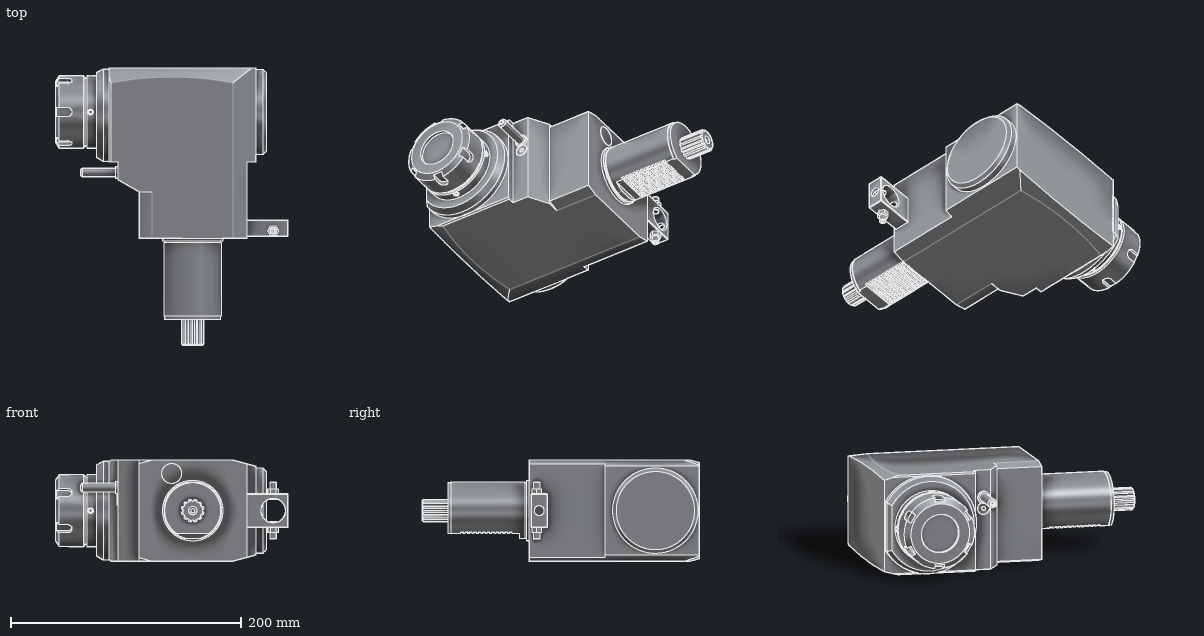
import cadquery as cq
import math


HEIGHT = 88.0
HALF_HEIGHT = HEIGHT / 2
BACK_Y = 38.3
FRONT_Y = -109.7
HEAD_LEFT = -72.5
HEAD_RIGHT = 55.0
HEAD_FRONT = -43.6
NECK_LEFT = -65.0
NECK_RIGHT = 47.2
SLANT_START_Y = -58.8
FOOT_LEFT = -46.5
FOOT_BACK = -69.5
BEVEL_ANGLE = 15.0
RIGHT_BEVEL_X = 35.0
LEFT_BEVEL_X = -35.2
EDGE_CHAMFER = 1.5
CROWN_RADIUS = 1084.5
CROWN_APEX_X = -18.0
CROWN_APEX_Y = 30.4
CUTTER_MARGIN = 24.0

FLANGE_FACE = -83.6
FLANGE_RIM = -77.5
FLANGE_RADIUS = 43.1
FLANGE_FACE_RADIUS = 39.5
FLANGE_FLAT_Y = 37.4
FLANGE_FLAT_FACE_Y = 34.2
NUT_FACE = -119.3
NUT_BACK = -93.7
NUT_RADIUS = 31.5
NUT_FACE_RADIUS = 26.3
NUT_CONE_LENGTH = 3.4
NUT_BACK_CHAMFER = 1.2
NUT_GAP = 2.0
NUT_GAP_RADIUS = 29.5
COLLET_RADIUS = 16.9
COLLET_DEPTH = 3.1
SLOT_COUNT = 6
SLOT_WIDTH = 8.2
SLOT_END_X = -104.8
SLOT_FLOOR_RADIUS = 27.7
RING_HOLE_COUNT = 4
RING_HOLE_X = -88.7
RING_HOLE_RADIUS = 2.5
RING_HOLE_DEPTH = 1.0
RING_SOCKET_RADIUS = 1.5
RING_SOCKET_DEPTH = 2.5
CAP_RADIUS = 37.0
CAP_END = 64.0
CAP_CHAMFER = 3.1

COLLAR_RADIUS = 26.3
COLLAR_LENGTH = 2.5
RELIEF_LENGTH = 1.2
RELIEF_RADIUS = 24.3
SHANK_RADIUS = 25.0
SHANK_END = -180.3
SHANK_STEP_LENGTH = 3.0
SHANK_STEP = 0.7
SHANK_FLAT_Z = -20.0
FLAT_START_Y = -118.0
HEEL_FLAT_Z = -24.3
TOOTH_PITCH = 3.9
TOOTH_GAP = 2.2
TOOTH_DEPTH = 1.2
GAP_COUNT = 12
FIRST_GAP_Y = -124.5
SPLINE_END = -202.7
SPLINE_COUNT = 12
SPLINE_RADIUS = 10.0
SPLINE_ROOT_RADIUS = 8.0
SPLINE_CHAMFER = 1.2
SPLINE_GROOVE_SHARE = 0.7
CENTRE_HOLE_RADIUS = 1.7
CENTRE_SINK_RADIUS = 3.5
CENTRE_HOLE_DEPTH = 9.6

PIN_Y = -52.5
PIN_Z = 20.0
PIN_RADIUS = 3.9
PIN_TIP = -97.4
PIN_CHAMFER = 1.5
PIN_SOCKET_RADIUS = 1.5
PIN_SOCKET_DEPTH = 2.5
SEAT_RADIUS = 5.3
PIN_SEAT_LENGTH = 2.0
SCREW_Z = 10.1
SCREW_HEAD = 0.5
SCREW_SOCKET_RADIUS = 1.7
PLUG_X = -18.3
PLUG_Z = 32.3
PLUG_RADIUS = 8.7
PLUG_RECESS = 0.2

BRACKET_END = 83.0
BRACKET_BACK = -93.7
BRACKET_FRONT = -108.0
BRACKET_HALF_HEIGHT = 14.7
BRACKET_CHAMFER = 0.5
BORE_X = 70.0
BORE_RADIUS = 10.5
CROSS_HOLE_RADIUS = 4.3
BOLT_Y = -103.1
BOLT_RADIUS = 3.0
BOLT_INNER_Z = 9.6
BOLT_OUTER_Z = 24.8
BOLT_CHAMFER = 0.5
BOLT_SOCKET_RADIUS = 1.2
BOLT_SOCKET_DEPTH = 2.5
BOLT_NUT_TOP = 18.8
BOLT_NUT_WIDTH = 9.6


def cylinder_x(x_start, x_end, radius, y=0.0, z=0.0):
    return cq.Workplane("YZ", origin=(x_start, y, z)).circle(radius).extrude(x_end - x_start)


def cylinder_y(y_start, y_end, radius, x=0.0, z=0.0):
    """Cylinder running from y_start toward -Y down to y_end."""
    return cq.Workplane("XZ", origin=(x, y_start, z)).circle(radius).extrude(y_start - y_end)


def box_between(x_range, y_range, z_range):
    size = [high - low for low, high in (x_range, y_range, z_range)]
    corner = cq.Vector(x_range[0], y_range[0], z_range[0])
    return cq.Workplane(cq.Solid.makeBox(*size, corner))


def cut_top_and_bottom(body, cutter):
    return body.cut(cutter).cut(cutter.mirror("XY"))


def side_bevel(start_x, end_x, y_front, y_back):
    """Wedge that slopes the top face down from start_x to end_x."""
    drop = abs(end_x - start_x) * math.tan(math.radians(BEVEL_ANGLE))
    return (
        cq.Workplane("XZ", origin=(0, y_back, 0))
        .moveTo(start_x, HALF_HEIGHT)
        .lineTo(end_x, HALF_HEIGHT)
        .lineTo(end_x, HALF_HEIGHT - drop)
        .close()
        .extrude(y_back - y_front)
    )


def back_crown():
    """Cutter for the tilted, slightly arched bevel along the top back edge."""
    half_width = HEAD_RIGHT - CROWN_APEX_X + CUTTER_MARGIN
    sag = CROWN_RADIUS - math.sqrt(CROWN_RADIUS**2 - half_width**2)
    tilt = math.radians(BEVEL_ANGLE)
    plane = cq.Plane(
        origin=(CROWN_APEX_X, CROWN_APEX_Y, HALF_HEIGHT),
        xDir=(1, 0, 0),
        normal=(0, math.cos(tilt), -math.sin(tilt)),
    )
    return (
        cq.Workplane(plane)
        .moveTo(-half_width, sag)
        .threePointArc((0, 0), (half_width, sag))
        .lineTo(half_width, -CUTTER_MARGIN)
        .lineTo(-half_width, -CUTTER_MARGIN)
        .close()
        .extrude(CUTTER_MARGIN, both=True)
    )


def make_housing():
    outline = [
        (HEAD_LEFT, BACK_Y),
        (HEAD_RIGHT, BACK_Y),
        (HEAD_RIGHT, HEAD_FRONT),
        (NECK_RIGHT, HEAD_FRONT),
        (NECK_RIGHT, FRONT_Y),
        (FOOT_LEFT, FRONT_Y),
        (FOOT_LEFT, FOOT_BACK),
        (NECK_LEFT, SLANT_START_Y),
        (NECK_LEFT, HEAD_FRONT),
        (HEAD_LEFT, HEAD_FRONT),
    ]
    body = cq.Workplane("XY").polyline(outline).close().extrude(HALF_HEIGHT, both=True)
    body = body.faces("<X").edges("|Y").chamfer(EDGE_CHAMFER)
    body = cut_top_and_bottom(body, side_bevel(RIGHT_BEVEL_X, HEAD_RIGHT, FRONT_Y, BACK_Y))
    body = cut_top_and_bottom(body, side_bevel(LEFT_BEVEL_X, FOOT_LEFT, FRONT_Y, FOOT_BACK))
    return cut_top_and_bottom(body, back_crown())


def make_flange():
    profile = [
        (HEAD_LEFT, 0),
        (HEAD_LEFT, FLANGE_RADIUS),
        (FLANGE_RIM, FLANGE_RADIUS),
        (FLANGE_FACE, FLANGE_FACE_RADIUS),
        (FLANGE_FACE, 0),
    ]
    flange = cq.Workplane("XY").polyline(profile).close().revolve(360, (0, 0), (1, 0))
    trim = [
        (HEAD_LEFT, FLANGE_FLAT_Y),
        (FLANGE_RIM, FLANGE_FLAT_Y),
        (FLANGE_FACE, FLANGE_FLAT_FACE_Y),
        (FLANGE_FACE, FLANGE_RADIUS),
        (HEAD_LEFT, FLANGE_RADIUS),
    ]
    return flange.cut(cq.Workplane("XY").polyline(trim).close().extrude(FLANGE_RADIUS, both=True))


def make_nut():
    gap_end = NUT_BACK + NUT_GAP
    profile = [
        (FLANGE_FACE, 0),
        (FLANGE_FACE, NUT_RADIUS),
        (gap_end, NUT_RADIUS),
        (gap_end, NUT_GAP_RADIUS),
        (NUT_BACK, NUT_GAP_RADIUS),
        (NUT_BACK, NUT_RADIUS - NUT_BACK_CHAMFER),
        (NUT_BACK - NUT_BACK_CHAMFER, NUT_RADIUS),
        (NUT_FACE + NUT_CONE_LENGTH, NUT_RADIUS),
        (NUT_FACE, NUT_FACE_RADIUS),
        (NUT_FACE, 0),
    ]
    nut = cq.Workplane("XY").polyline(profile).close().revolve(360, (0, 0), (1, 0))
    nut = nut.cut(cylinder_x(NUT_FACE, NUT_FACE + COLLET_DEPTH, COLLET_RADIUS))

    slot_round_x = SLOT_END_X - SLOT_WIDTH / 2
    slot = (
        cq.Workplane("XY", origin=(0, 0, SLOT_FLOOR_RADIUS))
        .moveTo(NUT_FACE, -SLOT_WIDTH / 2)
        .lineTo(slot_round_x, -SLOT_WIDTH / 2)
        .threePointArc((SLOT_END_X, 0), (slot_round_x, SLOT_WIDTH / 2))
        .lineTo(NUT_FACE, SLOT_WIDTH / 2)
        .close()
        .extrude(NUT_RADIUS - SLOT_FLOOR_RADIUS)
    )
    for i in range(SLOT_COUNT):
        nut = nut.cut(slot.rotate((0, 0, 0), (1, 0, 0), i * 360 / SLOT_COUNT))

    ring_hole = (
        cq.Workplane("XY", origin=(RING_HOLE_X, 0, NUT_RADIUS))
        .circle(RING_HOLE_RADIUS)
        .extrude(-RING_HOLE_DEPTH)
        .faces("<Z")
        .workplane()
        .circle(RING_SOCKET_RADIUS)
        .extrude(RING_SOCKET_DEPTH)
    )
    for i in range(RING_HOLE_COUNT):
        nut = nut.cut(ring_hole.rotate((0, 0, 0), (1, 0, 0), i * 360 / RING_HOLE_COUNT))
    return nut


def make_cap():
    return cylinder_x(HEAD_RIGHT, CAP_END, CAP_RADIUS).faces(">X").chamfer(CAP_CHAMFER)


def make_shank():
    collar_end = FRONT_Y - COLLAR_LENGTH
    step_y = SHANK_END + SHANK_STEP_LENGTH
    relief_end = collar_end - RELIEF_LENGTH
    shank = cylinder_y(collar_end, relief_end, RELIEF_RADIUS)
    shank = shank.union(cylinder_y(relief_end, step_y, SHANK_RADIUS))
    shank = shank.union(cylinder_y(step_y, SHANK_END, SHANK_RADIUS - SHANK_STEP))

    across = (-SHANK_RADIUS, SHANK_RADIUS)
    shank = shank.cut(box_between(across, (SHANK_END, collar_end), (-SHANK_RADIUS, HEEL_FLAT_Z)))
    shank = shank.cut(box_between(across, (SHANK_END, FLAT_START_Y), (-SHANK_RADIUS, SHANK_FLAT_Z)))
    for i in range(GAP_COUNT):
        gap_y = FIRST_GAP_Y - i * TOOTH_PITCH
        gap = box_between(across, (gap_y - TOOTH_GAP, gap_y), (SHANK_FLAT_Z, SHANK_FLAT_Z + TOOTH_DEPTH))
        shank = shank.cut(gap)
    return shank.union(cylinder_y(FRONT_Y, collar_end, COLLAR_RADIUS))


def make_spline():
    shaft = cylinder_y(SHANK_END, SPLINE_END, SPLINE_RADIUS).faces("<Y").chamfer(SPLINE_CHAMFER)
    groove_half_width = SPLINE_GROOVE_SHARE * SPLINE_RADIUS * math.sin(math.pi / SPLINE_COUNT)
    groove = (
        cq.Workplane("XZ", origin=(0, SHANK_END, 0))
        .moveTo(0, SPLINE_ROOT_RADIUS)
        .lineTo(groove_half_width, SPLINE_RADIUS)
        .lineTo(-groove_half_width, SPLINE_RADIUS)
        .close()
        .extrude(SHANK_END - SPLINE_END)
    )
    for i in range(SPLINE_COUNT):
        shaft = shaft.cut(groove.rotate((0, 0, 0), (0, 1, 0), i * 360 / SPLINE_COUNT))

    sink_depth = CENTRE_SINK_RADIUS - CENTRE_HOLE_RADIUS
    centre_hole = [
        (0, SPLINE_END),
        (CENTRE_SINK_RADIUS, SPLINE_END),
        (CENTRE_HOLE_RADIUS, SPLINE_END + sink_depth),
        (CENTRE_HOLE_RADIUS, SPLINE_END + CENTRE_HOLE_DEPTH),
        (0, SPLINE_END + CENTRE_HOLE_DEPTH),
    ]
    return shaft.cut(cq.Workplane("XY").polyline(centre_hole).close().revolve(360, (0, 0), (0, 1)))


def make_pin():
    pin = cylinder_x(PIN_TIP, NECK_LEFT, PIN_RADIUS, PIN_Y, PIN_Z).faces("<X").chamfer(PIN_CHAMFER)
    pin = pin.cut(cylinder_x(PIN_TIP, PIN_TIP + PIN_SOCKET_DEPTH, PIN_SOCKET_RADIUS, PIN_Y, PIN_Z))
    return pin.union(cylinder_x(NECK_LEFT - PIN_SEAT_LENGTH, NECK_LEFT, SEAT_RADIUS, PIN_Y, PIN_Z))


def make_side_screw():
    head_x = NECK_LEFT - SCREW_HEAD
    head = cylinder_x(head_x, NECK_LEFT, SEAT_RADIUS, PIN_Y, SCREW_Z)
    return head.cut(cylinder_x(head_x, NECK_LEFT, SCREW_SOCKET_RADIUS, PIN_Y, SCREW_Z))


def make_bracket():
    y_range = (BRACKET_FRONT, BRACKET_BACK)
    z_range = (-BRACKET_HALF_HEIGHT, BRACKET_HALF_HEIGHT)
    bracket = box_between((NECK_RIGHT, BRACKET_END), y_range, z_range)
    bracket = bracket.edges("not(<X)").chamfer(BRACKET_CHAMFER)
    bracket = bracket.cut(cylinder_y(BRACKET_BACK, BRACKET_FRONT, BORE_RADIUS, BORE_X))
    middle_y = (BRACKET_BACK + BRACKET_FRONT) / 2
    bracket = bracket.cut(cylinder_x(NECK_RIGHT, BRACKET_END, CROSS_HOLE_RADIUS, middle_y))

    bolt = (
        cq.Workplane("XY", origin=(BORE_X, BOLT_Y, BOLT_INNER_Z))
        .circle(BOLT_RADIUS)
        .extrude(BOLT_OUTER_Z - BOLT_INNER_Z)
        .faces(">Z")
        .chamfer(BOLT_CHAMFER)
        .faces(">Z")
        .workplane()
        .hole(2 * BOLT_SOCKET_RADIUS, BOLT_SOCKET_DEPTH)
    )
    nut = (
        cq.Workplane("XY", origin=(BORE_X, BOLT_Y, BRACKET_HALF_HEIGHT))
        .polygon(6, BOLT_NUT_WIDTH)
        .extrude(BOLT_NUT_TOP - BRACKET_HALF_HEIGHT)
    )
    clamp = bolt.union(nut)
    return bracket.union(clamp).union(clamp.mirror("XY"))


result = make_housing()
for piece in (
    make_flange(),
    make_nut(),
    make_cap(),
    make_shank(),
    make_spline(),
    make_pin(),
    make_side_screw(),
    make_bracket(),
):
    result = result.union(piece)

result = result.cut(cylinder_y(FRONT_Y + PLUG_RECESS, FRONT_Y, PLUG_RADIUS, PLUG_X, PLUG_Z))